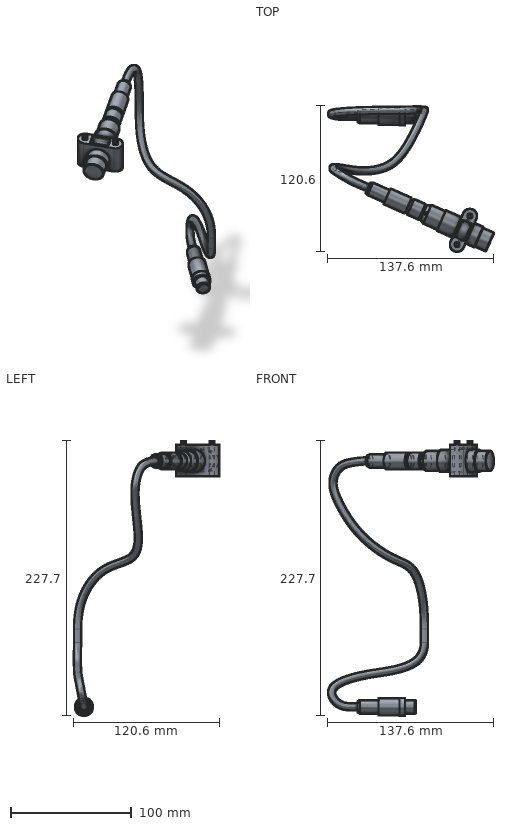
import cadquery as cq
import math

SENSOR_TURN = -24.0

CLAMP_WIDTH = 12.0
CLAMP_BOTTOM = -12.7
CLAMP_TOP = 13.5
SCREW_SPACING = 26.0
SCREW_DIAMETER = 4.0
SCREW_PROTRUSION = 3.0
SCREW_RECESS_DIAMETER = 2.7
SCREW_RECESS_DEPTH = 1.1
POCKET_WIDTH = 8.2
POCKET_LENGTH = 15.5
POCKET_DEPTH = 2.7
POCKET_FLOOR_RADIUS = 15.0
POCKET_FILLET = 1.4

SENSOR_BACK = -36.2
SENSOR_CONE_LENGTH = 3.5
SENSOR_BARREL_BACK = -20.0
SENSOR_BARREL_FRONT = 14.1
SENSOR_FRONT = 24.1
SENSOR_DIAMETER = 17.0
SENSOR_BACK_DIAMETER = 13.2
BARREL_DIAMETER = 18.7
SENSOR_CHAMFER = 0.5
KEY_SLOT_WIDTH = 2.0
KEY_SLOT_LENGTH = 2.3
KEY_SLOT_DEPTH = 1.8

CABLE_DIAMETER = 6.1
NECK_LENGTH = 1.5
PLUG_CHAMFER = 2.0
GRIP_DIAMETER = 11.4
GRIP_LENGTH = 17.3
SHELL_DIAMETER = 14.3

UPPER_PLUG_BACK = -86.5
UPPER_SHELL_LENGTH = 19.1
GROOVE_DIAMETER = 11.8
GROOVE_LENGTH = 2.3
NUT_LENGTH = 10.2
SPIGOT_DIAMETER = 11.4

LOWER_PLUG_BACK = (-87.6, 94.2, -203.7)
LOWER_SHELL_LENGTH = 17.3
RING_DIAMETER = 15.0
RING_LENGTH = 4.8
NOSE_DIAMETER = 11.4
NOSE_LENGTH = 9.0
NOSE_CHAMFER_LENGTH = 1.4
NOSE_CHAMFER_DEPTH = 0.7

STRAIGHT_X = -32.3
STRAIGHT_Y = 99.5
STRAIGHT_TOP = -139.0
STRAIGHT_BOTTOM = -150.5
UPPER_BENDS = [
    (-92.0, 41.0, -1.1),
    (-101.5, 46.5, -4.5),
    (-108.0, 51.0, -16.0),
    (-103.4, 51.7, -34.1),
    (-90.0, 49.6, -55.5),
    (-74.0, 49.9, -71.0),
    (-59.6, 55.0, -80.1),
    (-42.3, 77.5, -90.1),
    (-34.0, 95.4, -113.5),
]
LOWER_BENDS = [
    (-36.0, 99.7, -162.5),
    (-51.5, 99.5, -171.6),
    (-89.7, 98.8, -179.2),
    (-109.3, 96.3, -192.4),
    (-103.4, 94.7, -201.2),
]


def turned(shape):
    return shape.rotate((0, 0, 0), (0, 0, 1), SENSOR_TURN)


def revolved(profile):
    """Solid of revolution about X from (station, radius) points between its two ends."""
    outline = [(profile[0][0], 0), *profile, (profile[-1][0], 0)]
    return cq.Workplane("XY").polyline(outline).close().revolve(360, (0, 0, 0), (1, 0, 0))


def stepped(start, sections):
    """Profile of coaxial cylinders given as (length, diameter)."""
    profile = []
    station = start
    for length, diameter in sections:
        profile.append((station, diameter / 2))
        station += length
        profile.append((station, diameter / 2))
    return profile


def make_sensor():
    rear_radius = SENSOR_DIAMETER / 2
    barrel_radius = BARREL_DIAMETER / 2
    body = revolved([
        (SENSOR_BACK, SENSOR_BACK_DIAMETER / 2),
        (SENSOR_BACK + SENSOR_CONE_LENGTH, rear_radius),
        (SENSOR_BARREL_BACK, rear_radius),
        (SENSOR_BARREL_BACK, barrel_radius),
        (SENSOR_BARREL_FRONT - SENSOR_CHAMFER, barrel_radius),
        (SENSOR_BARREL_FRONT, barrel_radius - SENSOR_CHAMFER),
        (SENSOR_BARREL_FRONT, rear_radius),
        (SENSOR_FRONT - SENSOR_CHAMFER, rear_radius),
        (SENSOR_FRONT, rear_radius - SENSOR_CHAMFER),
    ])
    slot_floor = SENSOR_BACK_DIAMETER / 2 - KEY_SLOT_DEPTH
    key_slot = (
        cq.Workplane("XY", origin=(SENSOR_BACK, 0, slot_floor))
        .rect(2 * KEY_SLOT_LENGTH, KEY_SLOT_WIDTH)
        .extrude(SENSOR_DIAMETER)
    )
    return turned(body.cut(key_slot))


def screw_places():
    return [(0, side * SCREW_SPACING / 2) for side in (-1, 1)]


def pocket_space():
    """Space of the top pocket: its floor is arched across the sensor and rounded into the walls."""
    box = cq.Workplane("XY").rect(POCKET_WIDTH, POCKET_LENGTH).extrude(CLAMP_TOP)
    arch_centre = CLAMP_TOP - POCKET_DEPTH - POCKET_FLOOR_RADIUS
    arch = (
        cq.Workplane("YZ")
        .center(0, arch_centre)
        .circle(POCKET_FLOOR_RADIUS)
        .extrude(POCKET_WIDTH, both=True)
    )
    return box.cut(arch).faces("<Z").edges().fillet(POCKET_FILLET)


def make_clamp():
    clamp = (
        cq.Workplane("XY", origin=(0, 0, CLAMP_BOTTOM))
        .slot2D(SCREW_SPACING + CLAMP_WIDTH, CLAMP_WIDTH, 90)
        .extrude(CLAMP_TOP - CLAMP_BOTTOM)
    )
    screw_holes = (
        cq.Workplane("XY", origin=(0, 0, CLAMP_BOTTOM))
        .pushPoints(screw_places())
        .circle(SCREW_DIAMETER / 2)
        .extrude(CLAMP_TOP - CLAMP_BOTTOM)
    )
    bore = cq.Workplane("YZ").circle(BARREL_DIAMETER / 2).extrude(CLAMP_WIDTH, both=True)
    return turned(clamp.cut(screw_holes).cut(bore).cut(pocket_space()))


def make_screw(place):
    screw_top = CLAMP_TOP + SCREW_PROTRUSION
    screw = (
        cq.Workplane("XY", origin=(*place, CLAMP_BOTTOM))
        .circle(SCREW_DIAMETER / 2)
        .extrude(screw_top - CLAMP_BOTTOM)
    )
    recess = (
        cq.Workplane("XY", origin=(*place, screw_top))
        .circle(SCREW_RECESS_DIAMETER / 2)
        .extrude(-SCREW_RECESS_DEPTH)
    )
    return turned(screw.cut(recess))


def plug_back(start):
    """Profile of the cable neck, chamfer and grip; the chamfer starts at the given station."""
    neck = CABLE_DIAMETER / 2
    grip = GRIP_DIAMETER / 2
    return [
        (start - NECK_LENGTH, neck),
        (start, neck),
        (start, grip - PLUG_CHAMFER / 2),
        (start + PLUG_CHAMFER, grip),
        (start + GRIP_LENGTH, grip),
    ]


def make_upper_plug():
    front = stepped(UPPER_PLUG_BACK + GRIP_LENGTH, [
        (UPPER_SHELL_LENGTH, SHELL_DIAMETER),
        (GROOVE_LENGTH, GROOVE_DIAMETER),
        (NUT_LENGTH, SHELL_DIAMETER),
    ])
    nut_front = front[-1][0]
    spigot = stepped(nut_front, [(SENSOR_BACK - nut_front, SPIGOT_DIAMETER)])
    return turned(revolved(plug_back(UPPER_PLUG_BACK) + front + spigot))


def make_lower_plug():
    front = stepped(GRIP_LENGTH, [
        (LOWER_SHELL_LENGTH, SHELL_DIAMETER),
        (RING_LENGTH, RING_DIAMETER),
        (NOSE_LENGTH - NOSE_CHAMFER_LENGTH, NOSE_DIAMETER),
    ])
    tip = (front[-1][0] + NOSE_CHAMFER_LENGTH, NOSE_DIAMETER / 2 - NOSE_CHAMFER_DEPTH)
    return revolved(plug_back(0) + front + [tip]).translate(LOWER_PLUG_BACK)


def cable_run(points, start_direction, end_direction):
    """Smooth centre line through the points, with given directions at its two ends."""
    return cq.Edge.makeSpline(
        [cq.Vector(*point) for point in points],
        tangents=[cq.Vector(*start_direction), cq.Vector(*end_direction)],
        scale=False,
    )


def make_cable():
    """One cord swept along its upper bend, straight stretch and lower bend, with a plug on each end."""
    turn = math.radians(SENSOR_TURN)
    sensor_direction = (math.cos(turn), math.sin(turn), 0)
    away_from_sensor = tuple(-part for part in sensor_direction)
    upper_reach = UPPER_PLUG_BACK - NECK_LENGTH
    upper_end = tuple(upper_reach * part for part in sensor_direction)
    lower_end = (LOWER_PLUG_BACK[0] - NECK_LENGTH, *LOWER_PLUG_BACK[1:])
    straight_top = (STRAIGHT_X, STRAIGHT_Y, STRAIGHT_TOP)
    straight_bottom = (STRAIGHT_X, STRAIGHT_Y, STRAIGHT_BOTTOM)

    path = cq.Wire.assembleEdges([
        cable_run([upper_end, *UPPER_BENDS, straight_top], away_from_sensor, (0, 0, -1)),
        cq.Edge.makeLine(cq.Vector(*straight_top), cq.Vector(*straight_bottom)),
        cable_run([straight_bottom, *LOWER_BENDS, lower_end], (0, 0, -1), (1, 0, 0)),
    ])
    start_plane = cq.Plane(upper_end, normal=away_from_sensor)
    cord = cq.Workplane(start_plane).circle(CABLE_DIAMETER / 2).sweep(cq.Workplane(path))
    return cord.union(make_upper_plug()).union(make_lower_plug())


cable = make_cable()
sensor = make_sensor()
clamp = make_clamp()
screws = [make_screw(place) for place in screw_places()]

result = cq.Compound.makeCompound(
    [cable.val(), sensor.val(), clamp.val(), *[screw.val() for screw in screws]]
)